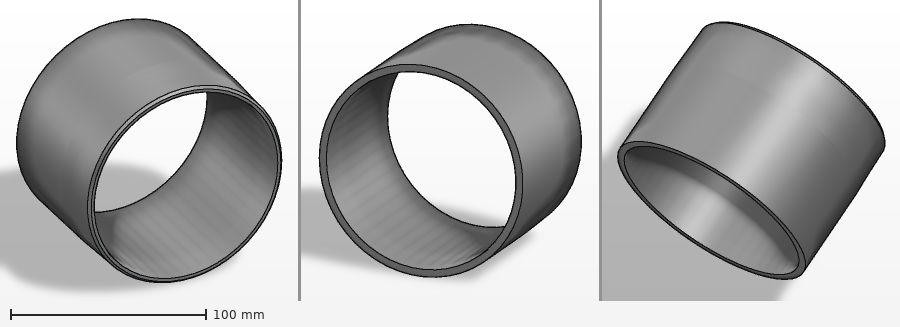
import cadquery as cq

outer_diameter = 113.3
wall = 4.0
length = 80.0
taper_start = 50.8
taper_ratio = 1 / 16
chamfer_length = 1.6
chamfer_depth = 1.4

outer_radius = outer_diameter / 2
inner_radius = outer_radius - wall
chamfer_start = length - chamfer_length
taper_length = chamfer_start - taper_start
taper_end_radius = outer_radius - taper_length * taper_ratio / 2
end_face_radius = taper_end_radius - chamfer_depth

wall_section = (
    cq.Workplane("XY")
    .moveTo(0, inner_radius)
    .lineTo(0, outer_radius)
    .lineTo(taper_start, outer_radius)
    .lineTo(chamfer_start, taper_end_radius)
    .lineTo(length, end_face_radius)
    .lineTo(length, inner_radius)
    .close()
)

result = wall_section.revolve(360, (0, 0, 0), (1, 0, 0))